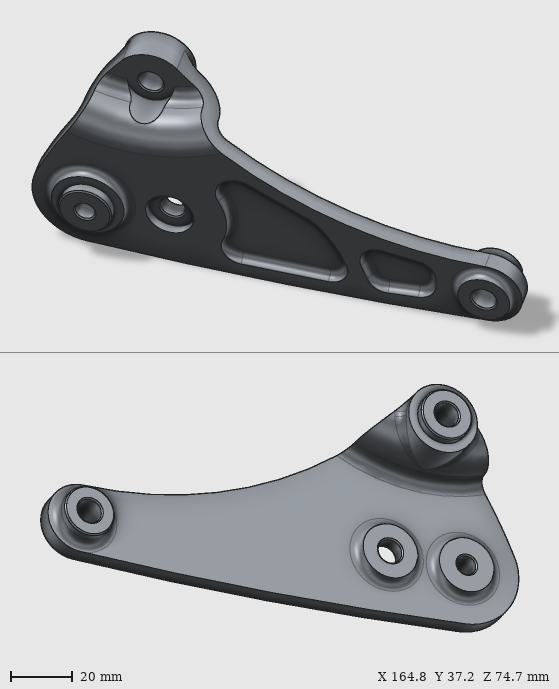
import cadquery as cq
import math


DIAGONAL = math.sqrt(0.5)

THICKNESS = 6.3
BEND_INNER_RADIUS = 5.0
BEND_OUTER_RADIUS = BEND_INNER_RADIUS + THICKNESS
EAR_FRONT = BEND_INNER_RADIUS + BEND_OUTER_RADIUS
EAR_BACK = EAR_FRONT + THICKNESS
BEND_AXIS = (13.2, 90.2)
BEND_START_RADIUS = 65.6
BEND_END_RADIUS = BEND_START_RADIUS - EAR_FRONT
SHEET_REACH = 197.9

PIVOT = (0.0, 0.0)
EAR = (15.7, 41.7)
END = (133.2, -6.8)
SMALL_HOLE = (26.7, 0.0)
PIVOT_CORNER_RADIUS = 19.6
EAR_CORNER_RADIUS = 12.0
END_CORNER_RADIUS = 12.0
BELLY_RADIUS = 1236.8
SADDLE_RADIUS = 141.0
FLANK_RADIUS = 183.9

FRONT_COVE = 3.0
BACK_COVE = 3.3
COLLAR_RADIUS = 12.2
SPIGOT_RADIUS = 8.9
LOW_BOSS_RADIUS = 9.5
END_BOSS_RADIUS = END_CORNER_RADIUS - BACK_COVE
PIVOT_SPIGOT_FRONT = -6.5
EAR_BOSS_BACK = 27.2
EAR_SPIGOT_BACK = 30.7
END_SPIGOT_BACK = 12.7
EAR_COVE = 3.0
EDGE_BREAK = 0.5
EAR_SPOTFACE_RADIUS = 7.9
COUNTERBORE_RADIUS = 8.0
COUNTERBORE_DEPTH = 3.3
PIVOT_HOLE_RADIUS = 3.3
HOLE_RADIUS = 4.1

POCKET_DEPTH = 3.3
POCKET_FLOOR_FILLET = 3.0
POCKET_CORNER = 6.6
POCKET_WALL_TO_HOLE = 18.8
POCKET_SHOULDER_LINK = 46.2
LARGE_POCKET_DISCS = [
    (49.6, 13.7, 7.6),
    (50.6, -9.4, POCKET_CORNER),
    (80.0, -9.4, POCKET_CORNER),
    (65.5, -4.1, 16.5),
]
LARGE_POCKET_LINKS = [-POCKET_WALL_TO_HOLE, None, POCKET_SHOULDER_LINK, None]
SMALL_POCKET_DISCS = [
    (97.3, -3.6, POCKET_CORNER),
    (99.5, -9.0, POCKET_CORNER),
    (109.7, -8.2, POCKET_CORNER),
    (109.7, -5.3, POCKET_CORNER),
]
SMALL_POCKET_LINKS = [None, None, None, None]

PICK_MARGIN = 0.08


def link_contacts(disc_a, disc_b, link):
    """Contact points and midpoint of the link from disc a to disc b, walked counter-clockwise.

    A link is None for a straight tangent, a positive radius for an arc that bulges
    outward round both discs, or a negative radius for an arc that dips between them.
    """
    (ax, az, ra), (bx, bz, rb) = disc_a, disc_b
    span = math.hypot(bx - ax, bz - az)
    heading = math.atan2(bz - az, bx - ax)
    if link is None:
        normal = heading - math.acos((ra - rb) / span)
        contact_a = (ax + ra * math.cos(normal), az + ra * math.sin(normal))
        contact_b = (bx + rb * math.cos(normal), bz + rb * math.sin(normal))
        return contact_a, None, contact_b

    reach_a = link - ra
    reach_b = link - rb
    side = math.copysign(1, link)
    cosine = (reach_a**2 + span**2 - reach_b**2) / (2 * abs(reach_a) * span)
    turn = heading + side * math.acos(cosine)
    centre = (ax + abs(reach_a) * math.cos(turn), az + abs(reach_a) * math.sin(turn))

    def on_link(dx, dz):
        length = math.hypot(dx, dz)
        return (centre[0] + abs(link) * dx / length, centre[1] + abs(link) * dz / length)

    contact_a = on_link(ax - centre[0], az - centre[1])
    contact_b = on_link(bx - centre[0], bz - centre[1])
    middle = on_link(
        (contact_a[0] + contact_b[0]) / 2 - centre[0],
        (contact_a[1] + contact_b[1]) / 2 - centre[1],
    )
    return contact_a, middle, contact_b


def disc_loop(discs, links, y_start, y_end):
    """Prism along Y whose outline wraps the discs counter-clockwise, joined by the links."""
    count = len(discs)
    joins = [link_contacts(discs[i], discs[(i + 1) % count], links[i]) for i in range(count)]
    outline = cq.Workplane("XZ", origin=(0, y_start, 0)).moveTo(*joins[0][0])
    for i, (_, middle, contact_b) in enumerate(joins):
        if middle is None:
            outline = outline.lineTo(*contact_b)
        else:
            outline = outline.threePointArc(middle, contact_b)
        x, z, radius = discs[(i + 1) % count]
        leave = joins[(i + 1) % count][0]
        first = math.atan2(contact_b[1] - z, contact_b[0] - x)
        sweep = (math.atan2(leave[1] - z, leave[0] - x) - first) % math.tau
        half = first + sweep / 2
        outline = outline.threePointArc((x + radius * math.cos(half), z + radius * math.sin(half)), leave)
    return outline.close().extrude(y_start - y_end)


def cylinder(place, radius, y_start, y_end):
    """Round bar along Y between two depths."""
    origin = (place[0], y_start, place[1])
    return cq.Workplane("XZ", origin=origin).circle(radius).extrude(y_start - y_end)


def spigot(place, radius, root, tip):
    """Round spigot with a broken edge at its tip, rooted in the boss below."""
    bar = cylinder(place, radius, root, tip)
    tip_face = ">Y" if tip > root else "<Y"
    return bar.faces(tip_face).chamfer(EDGE_BREAK)


def broken_edge_hole(place, radius, front, back):
    """Cutter for a through hole whose two rims are chamfered."""
    mouth = radius + EDGE_BREAK
    return (
        cq.Workplane("XY", origin=(place[0], 0, place[1]))
        .moveTo(0, front)
        .lineTo(mouth, front)
        .lineTo(radius, front + EDGE_BREAK)
        .lineTo(radius, back - EDGE_BREAK)
        .lineTo(mouth, back)
        .lineTo(0, back)
        .close()
        .revolve(360, (0, 0), (0, 1))
    )


def coved_boss(place, radius, face, direction, cove):
    """Low collar on a plate face, flared by a quarter-round cove as high as itself."""
    top = face + direction * cove
    flare = radius + cove
    cove_middle = (
        flare - cove * DIAGONAL,
        top - direction * cove * DIAGONAL,
    )
    root = face - direction * THICKNESS / 2
    return (
        cq.Workplane("XY", origin=(place[0], 0, place[1]))
        .moveTo(0, root)
        .lineTo(flare, root)
        .lineTo(flare, face)
        .threePointArc(cove_middle, (radius, top))
        .lineTo(0, top)
        .close()
        .revolve(360, (0, 0), (0, 1))
    )


def bend_section():
    """Start of a radial section at the bend axis, run along the front surface out to the plate rim."""
    return (
        cq.Workplane("XY", origin=(BEND_AXIS[0], 0, BEND_AXIS[1]))
        .moveTo(0, EAR_FRONT)
        .lineTo(BEND_END_RADIUS, EAR_FRONT)
        .threePointArc(
            (
                BEND_END_RADIUS + BEND_INNER_RADIUS * DIAGONAL,
                BEND_OUTER_RADIUS + BEND_INNER_RADIUS * DIAGONAL,
            ),
            (BEND_END_RADIUS + BEND_INNER_RADIUS, BEND_OUTER_RADIUS),
        )
        .threePointArc(
            (
                BEND_START_RADIUS - BEND_OUTER_RADIUS * DIAGONAL,
                BEND_OUTER_RADIUS - BEND_OUTER_RADIUS * DIAGONAL,
            ),
            (BEND_START_RADIUS, 0),
        )
        .lineTo(SHEET_REACH, 0)
    )


def behind_front_surface():
    """All the space behind the joggled front surface, as deep as the ear spigot."""
    return (
        bend_section()
        .lineTo(SHEET_REACH, EAR_SPIGOT_BACK)
        .lineTo(0, EAR_SPIGOT_BACK)
        .close()
        .revolve(360, (0, 0), (0, 1))
    )


def joggled_sheet():
    """Constant-thickness sheet with the S-bend."""
    return (
        bend_section()
        .lineTo(SHEET_REACH, THICKNESS)
        .lineTo(BEND_START_RADIUS, THICKNESS)
        .threePointArc(
            (
                BEND_START_RADIUS - BEND_INNER_RADIUS * DIAGONAL,
                BEND_OUTER_RADIUS - BEND_INNER_RADIUS * DIAGONAL,
            ),
            (BEND_START_RADIUS - BEND_INNER_RADIUS, BEND_OUTER_RADIUS),
        )
        .threePointArc(
            (
                BEND_END_RADIUS + BEND_OUTER_RADIUS * DIAGONAL,
                BEND_OUTER_RADIUS + BEND_OUTER_RADIUS * DIAGONAL,
            ),
            (BEND_END_RADIUS, EAR_BACK),
        )
        .lineTo(0, EAR_BACK)
        .close()
        .revolve(360, (0, 0), (0, 1))
    )


def is_boss_root(edge):
    """True for an edge where the ear boss wall meets the back of the sheet."""
    samples = edge.positions([0.2, 0.5, 0.8])
    on_wall = all(
        abs(math.hypot(point.x - EAR[0], point.z - EAR[1]) - EAR_CORNER_RADIUS) < PICK_MARGIN
        for point in samples
    )
    lowest_end = min(edge.startPoint().y, edge.endPoint().y)
    highest_end = max(edge.startPoint().y, edge.endPoint().y)
    return on_wall and lowest_end > EAR_FRONT + PICK_MARGIN and highest_end < EAR_BACK + PICK_MARGIN


def pocket(discs, links):
    """Blind pocket in the plate front with a rounded floor edge."""
    cutter = disc_loop(discs, links, 0, POCKET_DEPTH)
    return cutter.faces(">Y").edges().fillet(POCKET_FLOOR_FILLET)


ear_boss = cylinder(EAR, EAR_CORNER_RADIUS, BEND_OUTER_RADIUS, EAR_BOSS_BACK)
bossed_sheet = joggled_sheet().union(ear_boss.intersect(behind_front_surface()))
boss_root = [edge for edge in bossed_sheet.edges().vals() if is_boss_root(edge)]
bossed_sheet = bossed_sheet.newObject(boss_root).fillet(EAR_COVE)

arm_outline = disc_loop(
    [
        (*PIVOT, PIVOT_CORNER_RADIUS),
        (*END, END_CORNER_RADIUS),
        (*EAR, EAR_CORNER_RADIUS),
    ],
    [BELLY_RADIUS, -SADDLE_RADIUS, FLANK_RADIUS],
    PIVOT_SPIGOT_FRONT,
    EAR_SPIGOT_BACK,
)
body = bossed_sheet.intersect(arm_outline)

for place, radius in (
    (PIVOT, COLLAR_RADIUS),
    (END, END_BOSS_RADIUS),
):
    body = body.union(coved_boss(place, radius, 0, -1, FRONT_COVE))
for place, radius in (
    (PIVOT, LOW_BOSS_RADIUS),
    (SMALL_HOLE, LOW_BOSS_RADIUS),
    (END, END_BOSS_RADIUS),
):
    body = body.union(coved_boss(place, radius, THICKNESS, 1, BACK_COVE))

body = body.union(spigot(PIVOT, SPIGOT_RADIUS, 0, PIVOT_SPIGOT_FRONT))
body = body.union(spigot(EAR, SPIGOT_RADIUS, EAR_BACK, EAR_SPIGOT_BACK))
body = body.union(spigot(END, END_BOSS_RADIUS, THICKNESS, END_SPIGOT_BACK))

body = body.cut(cylinder(EAR, EAR_SPOTFACE_RADIUS, 0, EAR_FRONT))
body = body.cut(cylinder(SMALL_HOLE, COUNTERBORE_RADIUS, 0, COUNTERBORE_DEPTH))
low_boss_back = THICKNESS + BACK_COVE
for place, radius, front, back in (
    (PIVOT, PIVOT_HOLE_RADIUS, PIVOT_SPIGOT_FRONT, low_boss_back),
    (SMALL_HOLE, HOLE_RADIUS, COUNTERBORE_DEPTH, low_boss_back),
    (EAR, HOLE_RADIUS, EAR_FRONT, EAR_SPIGOT_BACK),
    (END, HOLE_RADIUS, -FRONT_COVE, END_SPIGOT_BACK),
):
    body = body.cut(broken_edge_hole(place, radius, front, back))

body = body.cut(pocket(LARGE_POCKET_DISCS, LARGE_POCKET_LINKS))
body = body.cut(pocket(SMALL_POCKET_DISCS, SMALL_POCKET_LINKS))

result = body